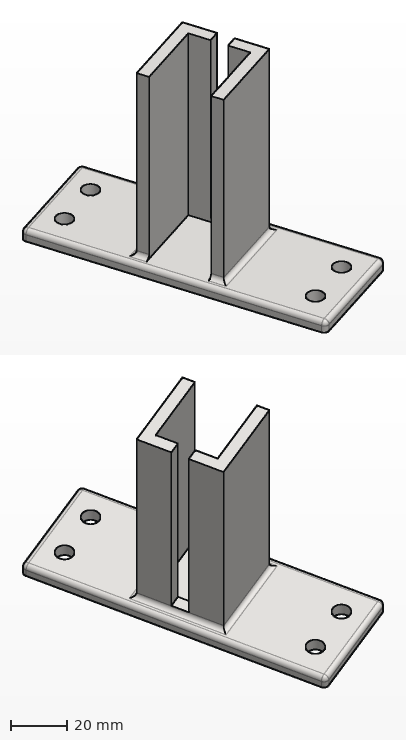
import cadquery as cq

base_length = 123.0
base_width = 45.0
base_thickness = 5.0
edge_radius = 2.0

total_height = 85.0
post_side = 35.0
wall = 5.0
slot_width = 7.0
foot_radius = 2.0

hole_diameter = 7.0
hole_spacing_x = 101.1
hole_spacing_y = 19.9


def make_base():
    """Plate with rounded corners and a rounded top rim."""
    plate = cq.Workplane("XY").box(
        base_length, base_width, base_thickness, centered=(True, True, False)
    )
    return plate.edges("|Z or >Z").fillet(edge_radius)


def flared_profile(plane):
    """Post silhouette with a concave flare at its foot, extruded across the flared width."""
    half_side = post_side / 2
    half_foot = half_side + foot_radius
    flare_top = base_thickness + foot_radius
    arc_offset = foot_radius * (1 - 0.5**0.5)
    return (
        cq.Workplane(plane)
        .moveTo(-half_foot, 0)
        .lineTo(half_foot, 0)
        .lineTo(half_foot, base_thickness)
        .threePointArc(
            (half_side + arc_offset, base_thickness + arc_offset), (half_side, flare_top)
        )
        .lineTo(half_side, total_height)
        .lineTo(-half_side, total_height)
        .lineTo(-half_side, flare_top)
        .threePointArc(
            (-half_side - arc_offset, base_thickness + arc_offset), (-half_foot, base_thickness)
        )
        .close()
        .extrude(half_foot, both=True)
    )


def make_post():
    """Square post with mitred flare, hollowed to a channel and slotted through its back wall."""
    post = flared_profile("XZ").intersect(flared_profile("YZ"))

    channel_back = post_side / 2 - wall
    channel = (
        cq.Workplane("XY", origin=(0, channel_back - post_side / 2, base_thickness))
        .rect(post_side - 2 * wall, post_side)
        .extrude(total_height)
    )
    slot_floor = base_thickness + foot_radius
    slot = (
        cq.Workplane("XY", origin=(0, post_side / 2, slot_floor))
        .rect(slot_width, 3 * wall)
        .extrude(total_height)
    )
    return post.cut(channel).cut(slot)


def make_holes():
    """Through drills for the four mounting holes."""
    return (
        cq.Workplane("XY")
        .rect(hole_spacing_x, hole_spacing_y, forConstruction=True)
        .vertices()
        .circle(hole_diameter / 2)
        .extrude(base_thickness)
    )


result = make_base().union(make_post()).cut(make_holes())